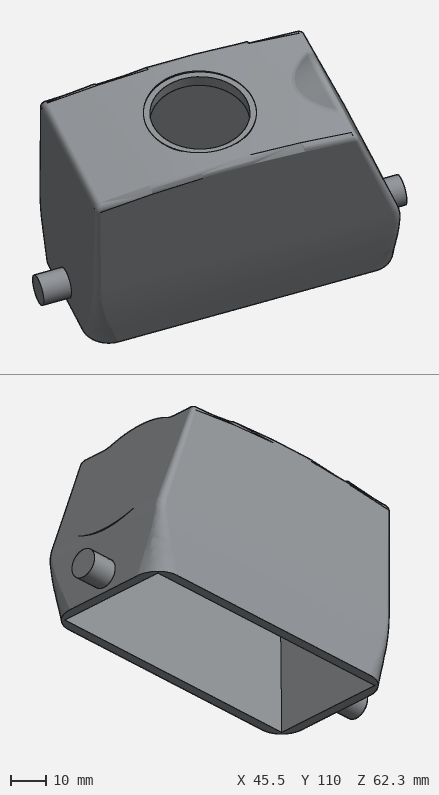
import cadquery as cq
import math

HALF_WIDTH = 22.75
HALF_LENGTH = 46.7
WALL = 3.0
ROOF_THICKNESS = 4.0
SKIRT_BEND = 7.0
SKIRT_TOP = 23.4
SKIRT_RADIUS = 200.0
CROWN_HEIGHT = 61.1
CROWN_Y = -6.0
ROOF_RADIUS = 300.0
FRONT_DRAFT = 0.75
BACK_LEAN = 20.0
BACK_BEND = 21.25
BACK_BEND_RADIUS = 14.0
ROOF_EDGE_RADIUS = 2.0
ROOF_EDGE_LOWEST = 57.0

CORNER_BASE = 7.8
CORNER_BEND = 5.4
CORNER_SKIRT_TOP = 1.9
CORNER_ROOF = 1.05
CORNER_EASING = 0.9
RADIUS_STATIONS = 5

ENTRY_DIAMETER = 28.3
SPOT_FACE_DIAMETER = 32.0
SPOT_FACE_DEPTH = 0.5

RIDGE_HEIGHT = 62.82
RIDGE_HALF_WIDTH = 13.5
RIDGE_RISE = 4.55
RIDGE_LENGTH = 20.0
RIDGE_ROOT_RADIUS = 2.0
RIDGE_FOOT_LIMIT = 30.0

PEG_DIAMETER = 9.0
PEG_HEIGHT = 6.2
PEG_SPAN = 110.0

LEVEL_TOLERANCE = 0.1

LEAN_SLOPE = math.tan(math.radians(BACK_LEAN))
DRAFT_SLOPE = math.tan(math.radians(FRONT_DRAFT))


def back_y(z):
    """Y of the leaning upper back face at height z."""
    return HALF_LENGTH - (z - BACK_BEND) * LEAN_SLOPE


def roof_cylinder(radius):
    """A cylinder along X about the axis of the arched roof."""
    axis = cq.Workplane("YZ").center(CROWN_Y, CROWN_HEIGHT - ROOF_RADIUS)
    return axis.circle(radius).extrude(HALF_WIDTH, both=True)


def side_prism():
    """The length-and-height outline, extruded across the full width."""
    ceiling = CROWN_HEIGHT + ROOF_EDGE_RADIUS
    outline = (
        cq.Workplane("YZ")
        .moveTo(-HALF_LENGTH, 0)
        .lineTo(HALF_LENGTH, 0)
        .lineTo(HALF_LENGTH, BACK_BEND)
        .lineTo(back_y(ceiling), ceiling)
        .lineTo(-HALF_LENGTH + ceiling * DRAFT_SLOPE, ceiling)
        .close()
        .extrude(HALF_WIDTH, both=True)
    )
    bend = cq.selectors.NearestToPointSelector((0, HALF_LENGTH, BACK_BEND))
    return outline.edges(bend).fillet(BACK_BEND_RADIUS).intersect(roof_cylinder(ROOF_RADIUS))


def skirt_x(z):
    """Half-width of the curved part of the skirt at height z."""
    return HALF_WIDTH - SKIRT_RADIUS + math.sqrt(SKIRT_RADIUS**2 - (SKIRT_TOP - z) ** 2)


def skirt_base_x():
    """Half-width at the base, where the straight skirt runs on from its curved part."""
    skirt_angle = math.asin((SKIRT_TOP - SKIRT_BEND) / SKIRT_RADIUS)
    return skirt_x(SKIRT_BEND) - SKIRT_BEND * math.tan(skirt_angle)


def width_prism():
    """The width-and-height outline, extruded over the full length."""
    bend_x = skirt_x(SKIRT_BEND)
    base_x = skirt_base_x()
    middle_z = (SKIRT_BEND + SKIRT_TOP) / 2
    middle_x = skirt_x(middle_z)
    return (
        cq.Workplane("XZ")
        .moveTo(-base_x, 0)
        .lineTo(base_x, 0)
        .lineTo(bend_x, SKIRT_BEND)
        .threePointArc((middle_x, middle_z), (HALF_WIDTH, SKIRT_TOP))
        .lineTo(HALF_WIDTH, CROWN_HEIGHT)
        .lineTo(-HALF_WIDTH, CROWN_HEIGHT)
        .lineTo(-HALF_WIDTH, SKIRT_TOP)
        .threePointArc((-middle_x, middle_z), (-bend_x, SKIRT_BEND))
        .close()
        .extrude(HALF_LENGTH, both=True)
    )


def ridge():
    """A circular segment on the leaning back face, extruded square to that face."""
    radius = (RIDGE_HALF_WIDTH**2 + RIDGE_RISE**2) / (2 * RIDGE_RISE)
    lean = math.radians(BACK_LEAN)
    back_face = cq.Plane(
        origin=(0, back_y(RIDGE_HEIGHT), RIDGE_HEIGHT),
        xDir=(-1, 0, 0),
        normal=(0, math.cos(lean), math.sin(lean)),
    )
    return cq.Workplane(back_face).center(0, -radius).circle(radius).extrude(-RIDGE_LENGTH)


def is_upright_corner(edge):
    """True for the climbing edges where a side meets the front or the back."""
    start = edge.startPoint()
    end = edge.endPoint()
    middle = edge.positionAt(0.5)
    at_side = abs(middle.x) > HALF_WIDTH - WALL
    at_end = abs(middle.y) > HALF_LENGTH / 2
    return at_side and at_end and abs(end.z - start.z) > LEVEL_TOLERANCE


def corner_radius(z):
    """Shrinks steadily up the skirt, along an easing curve to its top, then steadily to the roof."""
    if z < SKIRT_BEND:
        return CORNER_BASE + (CORNER_BEND - CORNER_BASE) * z / SKIRT_BEND
    if z < SKIRT_TOP:
        to_go = (SKIRT_TOP - z) / (SKIRT_TOP - SKIRT_BEND)
        easing = CORNER_EASING * to_go**2 + (1 - CORNER_EASING) * to_go
        return CORNER_SKIRT_TOP + (CORNER_BEND - CORNER_SKIRT_TOP) * easing
    rise = (z - SKIRT_TOP) / (CROWN_HEIGHT - SKIRT_TOP)
    return CORNER_SKIRT_TOP + (CORNER_ROOF - CORNER_SKIRT_TOP) * rise


def is_on_open_roof(edge):
    """True for edges away from the roof's border, such as the foot of the ridge."""
    middle = edge.positionAt(0.5)
    within_width = abs(middle.x) < HALF_WIDTH - WALL
    within_length = -HALF_LENGTH + WALL < middle.y < RIDGE_FOOT_LIMIT
    return within_width and within_length


def is_roof_edge(edge):
    return min(edge.startPoint().z, edge.endPoint().z) > ROOF_EDGE_LOWEST


def round_ridge_root(body):
    root = [edge for edge in body.edges().vals() if is_roof_edge(edge) and is_on_open_roof(edge)]
    return cq.Workplane(body.val().fillet(RIDGE_ROOT_RADIUS, root))


def round_edges(body):
    """Rounds the tapering corner edges and the roof's border together, so that they blend."""
    shapes = cq.occ_impl.shapes
    rounding = shapes.BRepFilletAPI_MakeFillet(body.val().wrapped)
    edges = body.edges().vals()
    for edge in edges:
        if is_upright_corner(edge) and rounding.Contour(edge.wrapped) == 0:
            rounding.Add(edge.wrapped)
    for contour in range(1, rounding.NbContours() + 1):
        contour_start = cq.Vertex(rounding.FirstVertex(contour)).Center().z
        for index in range(1, rounding.NbEdges(contour) + 1):
            edge = cq.Edge(rounding.Edge(contour, index))
            low, high = sorted((edge.startPoint().z, edge.endPoint().z))
            runs_down = contour_start > SKIRT_TOP
            first, last = (high, low) if runs_down else (low, high)
            law = shapes.TColgp_HArray1OfPnt2d(1, RADIUS_STATIONS)
            for station in range(RADIUS_STATIONS):
                t = station / (RADIUS_STATIONS - 1)
                radius = corner_radius(first + (last - first) * t)
                law.SetValue(station + 1, shapes.gp_Pnt2d(t, radius))
            rounding.SetRadius(law, contour, index)
    for edge in edges:
        if is_roof_edge(edge) and not is_on_open_roof(edge):
            rounding.Add(ROOF_EDGE_RADIUS, edge.wrapped)
    return cq.Workplane(cq.Shape.cast(rounding.Shape()))


def cavity():
    """The open-bottomed inside, following the front, roof and leaning back at a distance."""
    wall_across_lean = WALL / math.cos(math.radians(BACK_LEAN))
    inner_bend = BACK_BEND - (wall_across_lean - WALL) / LEAN_SLOPE
    ceiling = CROWN_HEIGHT
    block = (
        cq.Workplane("YZ")
        .moveTo(-HALF_LENGTH + WALL, 0)
        .lineTo(HALF_LENGTH - WALL, 0)
        .lineTo(HALF_LENGTH - WALL, inner_bend)
        .lineTo(back_y(ceiling) - wall_across_lean, ceiling)
        .lineTo(-HALF_LENGTH + WALL + ceiling * DRAFT_SLOPE, ceiling)
        .close()
        .extrude(skirt_base_x() - WALL, both=True)
    )
    return block.intersect(roof_cylinder(ROOF_RADIUS - ROOF_THICKNESS))


def entry_hole():
    """The round cable entry through the roof, with its shallow flat seat."""
    hole = cq.Workplane("XY", origin=(0, CROWN_Y, SKIRT_TOP)).circle(ENTRY_DIAMETER / 2)
    seat_height = CROWN_HEIGHT - SPOT_FACE_DEPTH
    seat = cq.Workplane("XY", origin=(0, CROWN_Y, seat_height)).circle(SPOT_FACE_DIAMETER / 2)
    return hole.extrude(CROWN_HEIGHT - SKIRT_TOP).union(seat.extrude(2 * SPOT_FACE_DEPTH))


def peg(end):
    """One peg, at the front (end = -1) or the back (end = 1)."""
    root_y = HALF_LENGTH - WALL / 2
    start = cq.Plane(origin=(0, end * root_y, PEG_HEIGHT), xDir=(1, 0, 0), normal=(0, end, 0))
    return cq.Workplane(start).circle(PEG_DIAMETER / 2).extrude(PEG_SPAN / 2 - root_y)


hood = side_prism().intersect(width_prism()).union(ridge())
hood = round_edges(round_ridge_root(hood))
hood = hood.cut(cavity()).cut(entry_hole())
for end in (-1, 1):
    hood = hood.union(peg(end))

result = hood